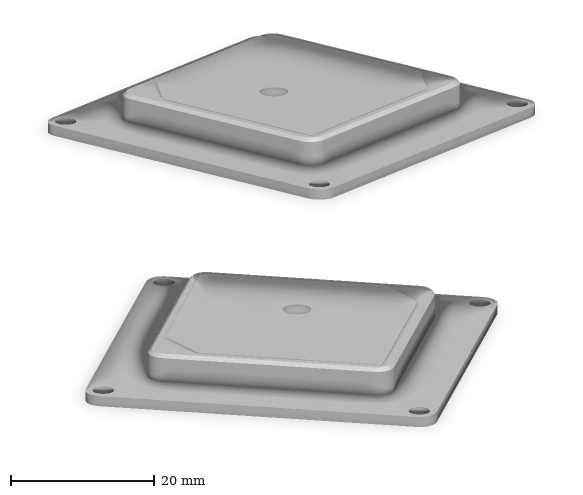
import cadquery as cq

board_size = 50
board_thickness = 1.5
corner_radius = 2.5
mount_hole_diameter = 3
mount_hole_spacing = 45

total_height = 5.6
foil_thickness = 0.1
block_size = 35
block_height = total_height - board_thickness - foil_thickness
rim_chamfer = 0.5

foil_size = 32
foil_corner_cut = 5.65
feed_opening_diameter = 4
feed_offset_y = -4


def rounded_slab(size, height):
    """Square slab standing on Z = 0 with rounded vertical edges."""
    slab = cq.Workplane("XY").rect(size, size).extrude(height)
    return slab.edges("|Z").fillet(corner_radius)


def make_board():
    """Base board with a mounting hole in each corner."""
    board = rounded_slab(board_size, board_thickness)
    return (
        board.faces(">Z").workplane()
        .rect(mount_hole_spacing, mount_hole_spacing, forConstruction=True)
        .vertices()
        .hole(mount_hole_diameter)
    )


def make_block():
    """Raised block with its top edges chamfered."""
    block = rounded_slab(block_size, block_height)
    return block.faces(">Z").chamfer(rim_chamfer)


def make_foil():
    """Foil whose feed opening leaves the block exposed below it."""
    half = foil_size / 2
    cut_start = half - foil_corner_cut
    outline = [
        (-half, half),
        (cut_start, half),
        (half, cut_start),
        (half, -half),
        (-cut_start, -half),
        (-half, -cut_start),
    ]
    sheet = cq.Workplane("XY").polyline(outline).close().extrude(foil_thickness)
    opening = (
        cq.Workplane("XY").center(0, feed_offset_y)
        .circle(feed_opening_diameter / 2).extrude(foil_thickness)
    )
    return sheet.cut(opening)


block_top = board_thickness + block_height
result = (
    make_board()
    .union(make_block().translate((0, 0, board_thickness)))
    .union(make_foil().translate((0, 0, block_top)))
)